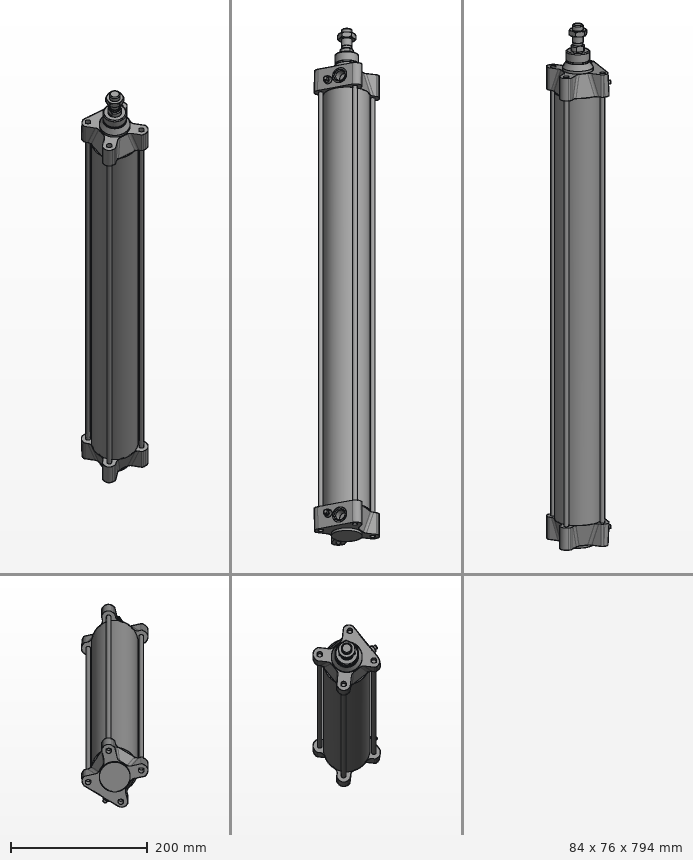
import cadquery as cq
import math

total_length = 794.0
total_width_x = 84.0

spigot_diameter = 45.0
spigot_height = 4.0
cap_width_y = 76.0
cap_width_x = 75.5
cap_draft = 1.5
cap_height = 34.0
cap_face_top = 725.0
cap_corner_radius = 9.5
screw_pitch = 56.0
screw_hole_diameter = 8.0
screw_hole_depth = 16.0

lobe_width = 20.0
lobe_edge_radius = 4.0
pocket_floor_outer = 24.0
pocket_floor_inner = 32.0
pocket_floor_fillet = 7.0
pocket_angles = (0, 90, 180)

barrel_diameter = 68.0
tie_rod_diameter = 7.1

port_y = -7.0
port_drop = 16.0
port_diameter = 15.0
port_chamfer = 1.5
port_seat_diameter = 23.0
port_seat_depth = 1.5
port_depth = 16.0
cushion_y = 11.0
cushion_drop = 21.0
cushion_base_diameter = 12.0
cushion_cone_end_diameter = 10.0
cushion_tip_diameter = 6.0
cushion_cone_end_x = -42.0

collar_top = 754.0
collar_diameter = 35.0
collar_chamfer = 1.5
collar_rim_height = 4.0
collar_cone_top = 738.0
groove_diameter = 33.0
groove_width = 2.0

rod_diameter = 20.0
rod_flat_width = 17.0
rod_shoulder = 763.0
rod_chamfer = 1.5
neck_diameter = 14.0
neck_top = 767.0
thread_diameter = 16.0
thread_tip_chamfer = 1.5

nut_across_flats = 24.0
nut_height = 8.0
nut_bottom = 778.0
nut_chamfer = 1.5
nut_turn = -3.0

screw_offset = screw_pitch / 2
wall_apex = lobe_width / math.sqrt(2)
cap_right_x = cap_width_x / 2
cap_left_inner_x = -cap_width_x / 2
cap_left_outer_x = cap_left_inner_x + cap_draft
cushion_tip_x = cap_right_x - total_width_x
cap_inner_bottom = spigot_height + cap_height
cap_inner_top = cap_face_top - cap_height
mid_height = (spigot_height + cap_face_top) / 2
corners = [(sx * screw_offset, sy * screw_offset) for sx in (-1, 1) for sy in (-1, 1)]


def side_pocket():
    """Cutter for the -Y side of the front cap: 45 degree walls along the lobes and a sloping floor."""
    reach = cap_width_y
    wedge = (
        cq.Workplane("XY")
        .workplane(offset=cap_inner_top)
        .polyline([(0, -wall_apex), (reach - wall_apex, -reach), (wall_apex - reach, -reach)])
        .close()
        .extrude(cap_height)
    )
    sloping_side = (
        cq.Workplane("YZ")
        .polyline(
            [
                (-pocket_floor_outer, cap_face_top),
                (-pocket_floor_inner, cap_inner_top),
                (-reach, cap_inner_top),
                (-reach, cap_face_top),
            ]
        )
        .close()
        .extrude(reach, both=True)
    )
    pocket = wedge.intersect(sloping_side)
    return pocket.faces(">Y").edges("not #Z").fillet(pocket_floor_fillet)


def cap_block():
    """Plain block of the front cap, with its -X face drafted and its -X corners rounded."""
    block = (
        cq.Workplane("XZ")
        .polyline(
            [
                (cap_left_inner_x, cap_inner_top),
                (cap_right_x, cap_inner_top),
                (cap_right_x, cap_face_top),
                (cap_left_outer_x, cap_face_top),
            ]
        )
        .close()
        .extrude(cap_width_y / 2, both=True)
    )
    for side in ("<Y", ">Y"):
        block = block.faces(side).edges("<X").fillet(cap_corner_radius)
    return block.faces(">X").edges("|Z").fillet(cap_corner_radius)


def air_port():
    """Cutter for the port: a round seat and a chamfered hole."""
    port_z = cap_face_top - port_drop
    port_r = port_diameter / 2
    seat_r = port_seat_diameter / 2
    seat_x = cap_left_inner_x + port_seat_depth
    end_x = cap_left_inner_x + port_depth
    start_x = cap_left_inner_x - port_seat_depth
    return (
        cq.Workplane("XY", origin=(0, port_y, port_z))
        .polyline(
            [
                (start_x, 0),
                (start_x, seat_r),
                (seat_x, seat_r),
                (seat_x, port_r + port_chamfer),
                (seat_x + port_chamfer, port_r),
                (end_x, port_r),
                (end_x, 0),
            ]
        )
        .close()
        .revolve(360, (0, 0, 0), (1, 0, 0))
    )


def cushion_screw():
    """Conical boss and screw tip that stand out from the -X face."""
    tip_r = cushion_tip_diameter / 2
    return (
        cq.Workplane("XY", origin=(0, cushion_y, cap_face_top - cushion_drop))
        .polyline(
            [
                (cap_left_outer_x, 0),
                (cap_left_outer_x, cushion_base_diameter / 2),
                (cap_left_inner_x, cushion_base_diameter / 2),
                (cushion_cone_end_x, cushion_cone_end_diameter / 2),
                (cushion_cone_end_x, tip_r),
                (cushion_tip_x, tip_r),
                (cushion_tip_x, 0),
            ]
        )
        .close()
        .revolve(360, (0, 0, 0), (1, 0, 0))
    )


def lobe_edges(cap):
    """Upright edges where the pocket walls run out; there x and y differ in size by wall_apex."""
    return [
        edge
        for edge in cap.edges("|Z").vals()
        if math.isclose(abs(abs(edge.Center().x) - abs(edge.Center().y)), wall_apex, rel_tol=1e-3)
    ]


def front_cap():
    """Drafted block with pockets on -Y, +X and +Y, rounded lobes, screw holes, port and cushion screw."""
    cap = cap_block()
    pocket = side_pocket()
    for angle in pocket_angles:
        cap = cap.cut(pocket.rotate((0, 0, 0), (0, 0, 1), angle))
    cap = cap.newObject(lobe_edges(cap)).fillet(lobe_edge_radius)
    screw_holes = cq.Workplane("XY").workplane(offset=cap_face_top).pushPoints(corners)
    cap = cap.cut(screw_holes.circle(screw_hole_diameter / 2).extrude(-screw_hole_depth))
    return cap.cut(air_port()).union(cushion_screw())


def collar():
    """Bearing collar: rim, cone, narrow groove and upper cylinder."""
    rim_r = spigot_diameter / 2
    rim_top = cap_face_top + collar_rim_height
    collar_r = collar_diameter / 2
    groove_r = groove_diameter / 2
    groove_top = collar_cone_top + groove_width
    return (
        cq.Workplane("XZ")
        .polyline(
            [
                (0, cap_face_top),
                (rim_r, cap_face_top),
                (rim_r, rim_top),
                (collar_r, collar_cone_top),
                (groove_r, collar_cone_top),
                (groove_r, groove_top),
                (collar_r, groove_top),
                (collar_r, collar_top - collar_chamfer),
                (collar_r - collar_chamfer, collar_top),
                (0, collar_top),
            ]
        )
        .close()
        .revolve(360, (0, 0, 0), (0, 1, 0))
    )


def rod_bore():
    """Cutter for the rod's hole through the collar and the front cap."""
    return (
        cq.Workplane("XY")
        .workplane(offset=cap_inner_top)
        .circle(rod_diameter / 2)
        .extrude(collar_top - cap_inner_top)
    )


def make_housing():
    """Both end caps, barrel, tie rods, rear spigot and collar as one body."""
    cap = front_cap()
    rear_cap = cap.mirror("XY", (0, 0, mid_height))
    span = cap_inner_top - cap_inner_bottom
    base = cq.Workplane("XY").workplane(offset=cap_inner_bottom)
    barrel = base.circle(barrel_diameter / 2).extrude(span)
    tie_rods = base.pushPoints(corners).circle(tie_rod_diameter / 2).extrude(span)
    spigot = cq.Workplane("XY").circle(spigot_diameter / 2).extrude(spigot_height)
    body = cap.union(barrel).union(tie_rods).union(rear_cap).union(spigot).union(collar())
    return body.cut(rod_bore())


def make_rod():
    """Piston rod with two wrench flats, a relief neck and a threaded end shaped as a plain cylinder."""
    shank = (
        cq.Workplane("XY")
        .workplane(offset=cap_inner_top)
        .circle(rod_diameter / 2)
        .extrude(rod_shoulder - cap_inner_top)
        .faces(">Z")
        .chamfer(rod_chamfer)
    )
    flats_height = rod_shoulder - collar_top
    for side in (-1, 1):
        flat_center_y = side * (rod_flat_width + rod_diameter) / 2
        flat = (
            cq.Workplane("XY", origin=(0, flat_center_y, collar_top))
            .rect(rod_diameter, rod_diameter)
            .extrude(flats_height)
        )
        shank = shank.cut(flat)
    neck = (
        cq.Workplane("XY")
        .workplane(offset=rod_shoulder)
        .circle(neck_diameter / 2)
        .extrude(neck_top - rod_shoulder)
    )
    thread = (
        cq.Workplane("XY")
        .workplane(offset=neck_top)
        .circle(thread_diameter / 2)
        .extrude(total_length - neck_top)
        .faces(">Z")
        .chamfer(thread_tip_chamfer)
    )
    return shank.union(neck).union(thread)


def make_nut():
    """Hexagon nut, chamfered on both ends."""
    across_corners = nut_across_flats / math.cos(math.pi / 6)
    hexagon = (
        cq.Workplane("XY")
        .workplane(offset=nut_bottom)
        .polygon(6, across_corners)
        .extrude(nut_height)
        .rotate((0, 0, 0), (0, 0, 1), nut_turn)
    )
    chamfered_blank = (
        cq.Workplane("XY")
        .workplane(offset=nut_bottom)
        .circle(across_corners / 2)
        .extrude(nut_height)
        .faces("<Z or >Z")
        .chamfer(nut_chamfer)
    )
    hole = cq.Workplane("XY").workplane(offset=nut_bottom).circle(thread_diameter / 2).extrude(nut_height)
    return hexagon.intersect(chamfered_blank).cut(hole)


housing = make_housing()
rod = make_rod()
nut = make_nut()

result = cq.Compound.makeCompound([housing.val(), rod.val(), nut.val()])